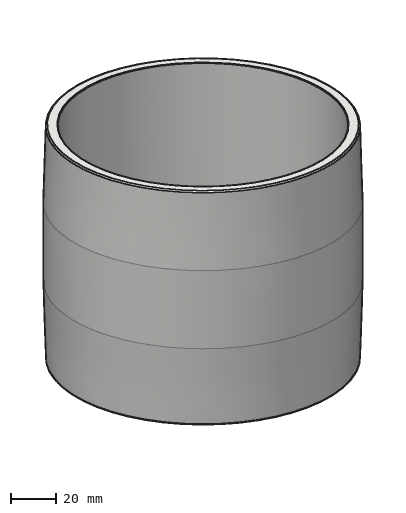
import cadquery as cq

outer_diameter = 141.2
bore_diameter = 128.2
height = 114.2
band_height = 38.1
end_diameter = 139.0
edge_chamfer = 0.7
bore_chamfer = 0.3

outer_radius = outer_diameter / 2
bore_radius = bore_diameter / 2
end_radius = end_diameter / 2
half_height = height / 2
half_band = band_height / 2

section = (
    cq.Workplane("XZ")
    .moveTo(-bore_radius, bore_chamfer - half_height)
    .lineTo(-bore_radius - bore_chamfer, -half_height)
    .lineTo(edge_chamfer - end_radius, -half_height)
    .lineTo(-end_radius, edge_chamfer - half_height)
    .lineTo(-outer_radius, -half_band)
    .lineTo(-outer_radius, half_band)
    .lineTo(-end_radius, half_height - edge_chamfer)
    .lineTo(edge_chamfer - end_radius, half_height)
    .lineTo(-bore_radius - bore_chamfer, half_height)
    .lineTo(-bore_radius, half_height - bore_chamfer)
    .close()
)
result = section.revolve(360, (0, 0, 0), (0, 1, 0))